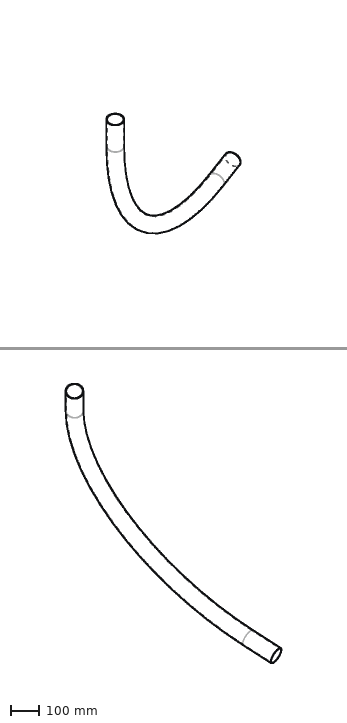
import cadquery as cq

overall_size = 921.0
outer_diameter = 63.5
inner_diameter = 57.0
straight_length = 125.0

leg_length = overall_size - outer_diameter / 2
bend_radius = leg_length - straight_length


def straight_leg(plane):
    """Tube starting at the plane and running along its normal."""
    return (
        cq.Workplane(plane)
        .circle(outer_diameter / 2)
        .circle(inner_diameter / 2)
        .extrude(straight_length)
    )


def quarter_bend():
    """Tube revolved 90 degrees, from the horizontal leg up to the vertical leg."""
    return (
        cq.Workplane("XY", origin=(0, 0, bend_radius))
        .circle(outer_diameter / 2)
        .circle(inner_diameter / 2)
        .revolve(90, (0, bend_radius, 0), (1, bend_radius, 0))
    )


vertical_leg = straight_leg(cq.Plane(origin=(0, 0, bend_radius), normal=(0, 0, 1)))
horizontal_leg = straight_leg(
    cq.Plane(origin=(0, bend_radius, 0), xDir=(1, 0, 0), normal=(0, 1, 0))
)

result = quarter_bend().union(vertical_leg).union(horizontal_leg)